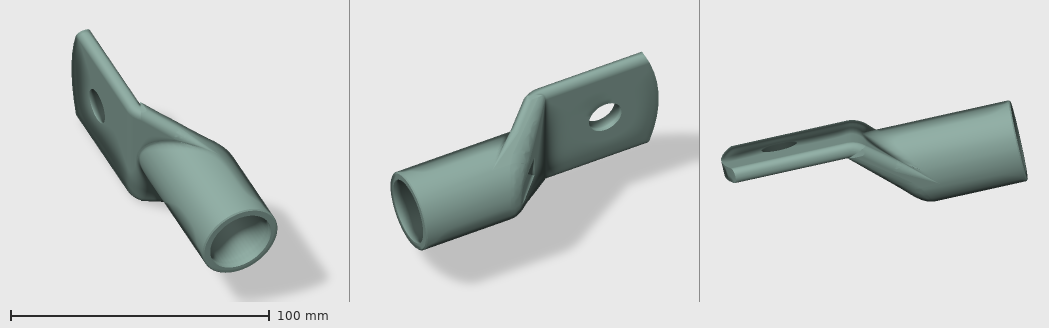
import cadquery as cq
import math

LENGTH = 113.85
BARREL_RADIUS = 32 / 2
BORE_RADIUS = 26 / 2
BORE_END_X = 74.7
BARREL_END_CHAMFER = 0.5

PALM_HALF_WIDTH = 48 / 2
PALM_FRONT_Y = -18.0
PALM_THICKNESS = 6.0
PALM_BACK_Y = PALM_FRONT_Y + PALM_THICKNESS
PALM_EDGE_RADIUS = 2.9
PALM_TIP_RADIUS = 60.0
STUD_HOLE_DIAMETER = 14.0
STUD_HOLE_X = 23.0

BEND_START_X = 49.6
BEND_RADIUS = 10.7
FRONT_ANGLE = math.radians(41.6)
BACK_ANGLE = math.radians(48)
BACK_START_X = 48.8
FRONT_NORMAL = cq.Vector(math.sin(FRONT_ANGLE), -math.cos(FRONT_ANGLE), 0)
BACK_NORMAL = cq.Vector(-math.sin(BACK_ANGLE), math.cos(BACK_ANGLE), 0)
RIM_RADIUS = 8.0
BARREL_BLEND_RADIUS = 1.0

TANGENT_Y = 7.2
TANGENT_Z = math.sqrt(BARREL_RADIUS**2 - TANGENT_Y**2)
SIDE_SLOPE = TANGENT_Y / TANGENT_Z

NECK_FRONT_RADIUS = 3.0
NECK_FRONT_FADE_Y = -5.5
NECK_FRONT_TIP_RADIUS = 0.3
NECK_FRONT_STATIONS = [
    (PALM_FRONT_Y, NECK_FRONT_RADIUS),
    (NECK_FRONT_FADE_Y, NECK_FRONT_RADIUS),
    (TANGENT_Y, NECK_FRONT_TIP_RADIUS),
]
NECK_BACK_STATIONS = [
    (PALM_BACK_Y, PALM_EDGE_RADIUS),
    (TANGENT_Y, RIM_RADIUS),
    (TANGENT_Y + RIM_RADIUS, RIM_RADIUS),
]

WINDOW_WIDTH = 10.0
WINDOW_LOW_Y = -0.3
WINDOW_HIGH_Y = 13.6
WINDOW_DEPTH = 10.2

BEND_CENTRE_Y = PALM_FRONT_Y + BEND_RADIUS
BEND_END_X = BEND_START_X + BEND_RADIUS * math.sin(FRONT_ANGLE)
BEND_END_Y = BEND_CENTRE_Y - BEND_RADIUS * math.cos(FRONT_ANGLE)


def front_x(y):
    """X of the front neck plane at height y."""
    return BEND_END_X + (y - BEND_END_Y) / math.tan(FRONT_ANGLE)


def back_x(y):
    """X of the back neck plane at height y."""
    return BACK_START_X + (y - PALM_BACK_Y) / math.tan(BACK_ANGLE)


def side_z(y):
    """Half width between the neck side planes at height y."""
    return TANGENT_Z + SIDE_SLOPE * (TANGENT_Y - y)


def bend_point(radius, angle):
    """Point of the bend, turned by angle from the palm, at a distance from the bend centre."""
    return (
        BEND_START_X + radius * math.sin(angle),
        BEND_CENTRE_Y - radius * math.cos(angle),
    )


def make_palm():
    """Flat palm with the bend, rounded long edges, curved tip and stud hole."""
    inner_radius = BEND_RADIUS - PALM_THICKNESS
    palm = (
        cq.Workplane("XY")
        .moveTo(0, PALM_FRONT_Y)
        .lineTo(BEND_START_X, PALM_FRONT_Y)
        .threePointArc(bend_point(BEND_RADIUS, FRONT_ANGLE / 2), bend_point(BEND_RADIUS, FRONT_ANGLE))
        .lineTo(*bend_point(inner_radius, FRONT_ANGLE))
        .threePointArc(bend_point(inner_radius, FRONT_ANGLE / 2), (BEND_START_X, PALM_BACK_Y))
        .lineTo(0, PALM_BACK_Y)
        .close()
        .extrude(PALM_HALF_WIDTH, both=True)
    )
    palm = palm.faces("|Y").edges("|X").fillet(PALM_EDGE_RADIUS)
    tip_disc = (
        cq.Workplane("XZ", origin=(PALM_TIP_RADIUS, 0, 0))
        .circle(PALM_TIP_RADIUS)
        .extrude(-PALM_FRONT_Y)
    )
    stud_hole = (
        cq.Workplane("XZ", origin=(STUD_HOLE_X, 0, 0))
        .circle(STUD_HOLE_DIAMETER / 2)
        .extrude(-PALM_FRONT_Y)
    )
    return palm.intersect(tip_disc).cut(stud_hole)


def make_barrel():
    """Lower and upper parts of the solid barrel, cut by the back plane; the upper rim is rounded."""
    barrel = (
        cq.Workplane("YZ")
        .circle(BARREL_RADIUS)
        .extrude(LENGTH)
        .faces(">X")
        .chamfer(BARREL_END_CHAMFER)
    )
    reach = 2 * BARREL_RADIUS
    outline = [
        (back_x(-reach), -reach),
        (back_x(reach), reach),
        (-reach, reach),
        (-reach, -reach),
    ]
    cutter = (
        cq.Workplane("XY")
        .polyline(outline)
        .close()
        .extrude(reach, both=True)
    )
    barrel = barrel.cut(cutter)
    upper_half_space = (
        cq.Workplane("XZ", origin=(0, TANGENT_Y, 0)).rect(4 * LENGTH, 4 * LENGTH).extrude(-reach)
    )
    lower = barrel.cut(upper_half_space)
    upper = barrel.intersect(upper_half_space)
    rim = cq.selectors.NearestToPointSelector((back_x(BARREL_RADIUS), BARREL_RADIUS, 0))
    return lower, upper.edges(rim).fillet(RIM_RADIUS)


def make_wedge():
    """Space between the two side planes of the neck, up to their tangent lines on the barrel."""
    low_z = side_z(PALM_FRONT_Y)
    section = [
        (PALM_FRONT_Y, low_z),
        (PALM_FRONT_Y, -low_z),
        (TANGENT_Y, -TANGENT_Z),
        (TANGENT_Y, TANGENT_Z),
    ]
    wedge = cq.Workplane("YZ").polyline(section).close().extrude(LENGTH)
    for side in (1, -1):
        wedge = wedge.cut(edge_rounding(side, front_x, FRONT_NORMAL, NECK_FRONT_STATIONS))
    return wedge


def make_neck():
    """Slanted neck between the palm and the barrel, narrowing towards the barrel."""
    outline = [
        (BACK_START_X, PALM_BACK_Y),
        (BEND_END_X, BEND_END_Y),
        (front_x(TANGENT_Y), TANGENT_Y),
        (back_x(TANGENT_Y), TANGENT_Y),
    ]
    slab = cq.Workplane("XY").polyline(outline).close().extrude(PALM_HALF_WIDTH, both=True)
    return slab.intersect(make_wedge())


def make_blend():
    """Concave blend of the front neck plane and the barrel, fading out at mid height of the barrel."""
    outline = [
        (0, 2 * PALM_FRONT_Y),
        (front_x(2 * PALM_FRONT_Y), 2 * PALM_FRONT_Y),
        (front_x(TANGENT_Y), TANGENT_Y),
        (0, TANGENT_Y),
    ]
    block = cq.Workplane("XY").polyline(outline).close().extrude(2 * PALM_HALF_WIDTH, both=True)
    cylinder = cq.Workplane("YZ").circle(BARREL_RADIUS).extrude(LENGTH)
    joined = block.union(cylinder)
    corner = cq.selectors.NearestToPointSelector((front_x(-BARREL_RADIUS), -BARREL_RADIUS, 0))
    blend = joined.edges(corner).fillet(BARREL_BLEND_RADIUS).cut(block).cut(cylinder)
    lower_half = (
        cq.Workplane("XZ")
        .rect(2 * LENGTH, 2 * BARREL_RADIUS)
        .extrude(2 * BARREL_RADIUS)
    )
    return blend.intersect(make_wedge()).intersect(lower_half)


def edge_rounding(side, plane_x, plane_normal, stations):
    """Waste along the edge where a side plane meets a neck plane; each station is (y, radius)."""
    side_normal = cq.Vector(0, SIDE_SLOPE, side).normalized()
    outward = (plane_normal + side_normal).normalized()
    half_turn = plane_normal.getAngle(side_normal) / 2
    wires = []
    for y, radius in stations:
        corner = cq.Vector(plane_x(y), y, side * side_z(y))
        centre = corner - outward * (radius / math.cos(half_turn))
        start = centre + plane_normal * radius
        end = centre + side_normal * radius
        profile = [
            cq.Edge.makeLine(corner, start),
            cq.Edge.makeThreePointArc(start, centre + outward * radius, end),
            cq.Edge.makeLine(end, corner),
        ]
        wires.append(cq.Wire.assembleEdges(profile))
    return cq.Workplane(cq.Solid.makeLoft(wires, True))


def make_bore():
    """Blind conductor bore, open at the barrel end."""
    return cq.Workplane("YZ", origin=(BORE_END_X, 0, 0)).circle(BORE_RADIUS).extrude(LENGTH)


def make_window():
    """Round-topped pocket, square to the back plane, that breaks into the bore."""
    low = cq.Vector(back_x(WINDOW_LOW_Y), WINDOW_LOW_Y, 0)
    plane = cq.Plane(
        origin=low,
        xDir=(math.cos(BACK_ANGLE), math.sin(BACK_ANGLE), 0),
        normal=(-math.sin(BACK_ANGLE), math.cos(BACK_ANGLE), 0),
    )
    half_width = WINDOW_WIDTH / 2
    straight = (WINDOW_HIGH_Y - WINDOW_LOW_Y) / math.sin(BACK_ANGLE) - half_width
    return (
        cq.Workplane(plane)
        .moveTo(0, -half_width)
        .lineTo(straight, -half_width)
        .threePointArc((straight + half_width, 0), (straight, half_width))
        .lineTo(0, half_width)
        .close()
        .extrude(WINDOW_DEPTH + BARREL_RADIUS)
        .translate(plane.zDir * -WINDOW_DEPTH)
    )


def make_lug():
    """Join palm, neck and barrel, then cut the bore and the window."""
    lower_barrel, upper_barrel = make_barrel()
    body = make_neck().union(lower_barrel)
    for side in (1, -1):
        body = body.cut(edge_rounding(side, back_x, BACK_NORMAL, NECK_BACK_STATIONS))
    body = body.union(upper_barrel).union(make_blend()).union(make_palm())
    return body.cut(make_bore()).cut(make_window())


result = make_lug()